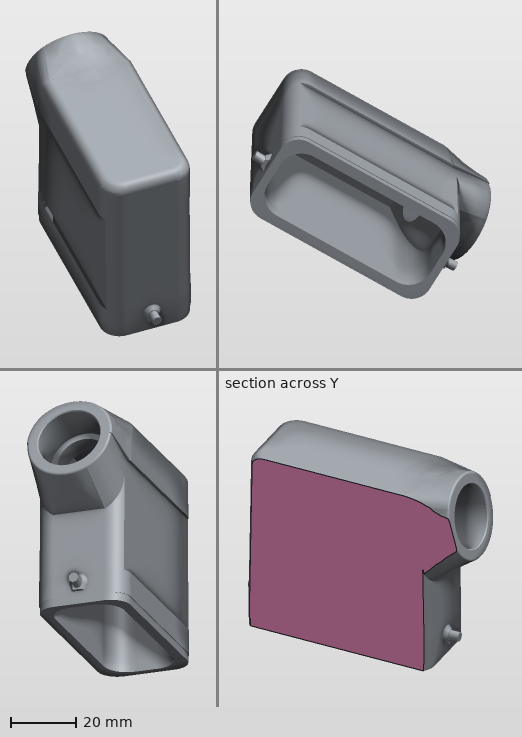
import cadquery as cq
import math

body_length = 62.6
body_width = 29.5
body_height = 61.2
corner_radius = 6.3
top_fillet = 3.1
end_draft = 1.0

lip_height = 2.5
lip_inset = 0.2
band_top = 10.35

panel_depth = 1.0
panel_top = 47.1
ledge_slope = 0.4

neck_tilt = math.radians(15)
neck_length = 14.0
neck_root_x = -26.45
neck_rise = 0.6
upper_mouth_radius = 13.8
lower_mouth_radius = 13.6
mouth_round = 0.7
upper_split_angles = (37.0, 52.0)
lower_split_angles = (19.0, 60.0)
valley_radius = 47.4
valley_strip_length = 9.5
valley_end_gap = 0.6

bore_diameter = 20.0
bore_depth = 12.25
bore_chamfer = 0.3
seat_diameter = 16.0
seat_length = 5.9

wall = 2.5
cavity_corner_radius = 7.5

pin_diameter = 3.0
pin_z = 7.0
pin_tip_x = 35.8
pin_root_drop = 0.9
collar_length = 1.35
collar_radius = 2.9
collar_tip_radius = 1.7
collar_bottom_z = 4.2
collar_bottom_half_width = 2.2

half_length = body_length / 2
half_width = body_width / 2
panel_half_width = half_width - panel_depth
draft_slope = math.tan(math.radians(end_draft))

cos_tilt = math.cos(neck_tilt)
sin_tilt = math.sin(neck_tilt)
outward = (-cos_tilt, 0, sin_tilt)


def neck_plane(distance, rise=0.0):
    """Plane square to the neck axis; its local y runs up the slope, its normal points out of the mouth."""
    x = neck_root_x - distance * cos_tilt + rise * sin_tilt
    z = panel_top + distance * sin_tilt + rise * cos_tilt
    return cq.Plane(origin=(x, 0, z), xDir=(0, -1, 0), normal=outward)


def rounded_block(length, width, bottom, top, radius):
    block = cq.Workplane("XY", origin=(0, 0, bottom)).rect(length, width).extrude(top - bottom)
    return block.edges("|Z").fillet(radius)


def inward_side(distance):
    """Half space, as a large block, on the body's side of a plane square to the neck axis."""
    reach = 3 * body_height
    return cq.Workplane(neck_plane(distance)).rect(reach, reach).extrude(-reach)


def drafted_body():
    top_half_length = half_length - draft_slope * (body_height - band_top)
    outline = [
        (-half_length, band_top),
        (half_length, band_top),
        (top_half_length, body_height),
        (-top_half_length, body_height),
    ]
    body = cq.Workplane("XZ").polyline(outline).close().extrude(half_width, both=True)
    body = body.edges("not (#Z or |Y)").fillet(corner_radius)
    return body.faces(">Z").edges().fillet(top_fillet)


def side_panel_cut(side):
    outside = half_width + 0.8
    ledge_run = outside - panel_half_width
    profile = [
        (side * panel_half_width, panel_top),
        (side * outside, panel_top),
        (side * outside, band_top - ledge_slope * ledge_run / panel_depth),
        (side * panel_half_width, band_top),
    ]
    return cq.Workplane("YZ").polyline(profile).close().extrude(half_length + 0.8, both=True)


def mouth_point(radius, degrees):
    angle = math.radians(degrees)
    return (radius * math.cos(angle), neck_rise + radius * math.sin(angle))


def mirrored(point):
    return (-point[0], point[1])


def half_profile(plane, start, mid_a, a, mid_b, b, mid_c):
    """Closed profile, symmetric about local x = 0: a base line and three stretches on each side.

    A stretch whose middle point is None is straight.
    """
    steps = [(mid_a, a), (mid_b, b), (mid_c, mirrored(b))]
    steps += [(mid_b and mirrored(mid_b), mirrored(a)), (mid_a and mirrored(mid_a), mirrored(start))]
    profile = cq.Workplane(plane).moveTo(*start)
    for middle, end in steps:
        profile = profile.threePointArc(middle, end) if middle else profile.lineTo(*end)
    return profile.close().wire().val()


def mouth_profile(radius, split_angles, sign):
    first, second = split_angles
    angles = (0, first / 2, first, (first + second) / 2, second, 90)
    points = [mouth_point(radius, sign * angle) for angle in angles]
    return half_profile(neck_plane(neck_length), *points)


def up_slope(z):
    """Local y, on a plane of the neck, of the height z."""
    return (z - panel_top) / cos_tilt


def upper_root_profile():
    def round_point(degrees):
        angle = math.radians(degrees)
        y = half_width - top_fillet * (1 - math.cos(angle))
        return (y, up_slope(body_height - top_fillet * (1 - math.sin(angle))))

    start = (half_width, 0)
    return half_profile(
        neck_plane(0), start, None, round_point(0), round_point(45), round_point(90), None
    )


def lower_root_profile():
    run = neck_root_x + half_length - draft_slope * (panel_top - band_top)
    wall_z = panel_top - run / (math.tan(neck_tilt) - draft_slope)
    wall_y = up_slope(wall_z)

    def corner_point(degrees):
        angle = math.radians(degrees)
        y = half_width - corner_radius * (1 - math.cos(angle))
        return (y, wall_y + corner_radius * (1 - math.sin(angle)) / sin_tilt)

    panel_edge = math.degrees(math.acos(1 - panel_depth / corner_radius))
    middle = (panel_edge + 90) / 2
    start = (panel_half_width, 0)
    return half_profile(
        neck_plane(0), start, None, corner_point(panel_edge), corner_point(middle), corner_point(90), None
    )


def neck_half(root, mouth):
    half = cq.Workplane(cq.Solid.makeLoft([root, mouth], True))
    mouth_face = cq.selectors.DirectionMinMaxSelector(cq.Vector(outward))
    return half.faces(mouth_face).edges("not |Y").fillet(mouth_round)


def valley_blend(neck):
    """The neck's middle with a strip of the body's flat top, and the valley between them rounded."""
    flat_width = body_width - 2 * top_fillet
    valley_x = neck_root_x + (body_height - panel_top) * math.tan(neck_tilt)
    strip = (
        cq.Workplane("XY", origin=(valley_x, 0, body_height - wall))
        .rect(2 * valley_strip_length, flat_width)
        .extrude(wall)
        .intersect(inward_side(0))
    )
    middle = cq.Workplane("XY").box(2 * body_length, flat_width - 2 * valley_end_gap, 3 * body_height)
    valley = cq.selectors.NearestToPointSelector((valley_x, 0, body_height))
    return neck.union(strip).intersect(middle).edges(valley).fillet(valley_radius)


def cable_bore():
    mouth = neck_plane(neck_length, neck_rise)
    lead_in = (
        cq.Workplane(mouth)
        .circle(bore_diameter / 2 + bore_chamfer)
        .workplane(offset=-bore_chamfer)
        .circle(bore_diameter / 2)
        .loft()
    )
    bore = cq.Workplane(mouth).circle(bore_diameter / 2).extrude(-bore_depth)
    through = cq.Workplane(mouth).circle(seat_diameter / 2).extrude(-bore_depth - seat_length - wall)
    return lead_in.union(bore).union(through)


def cavity():
    block = rounded_block(
        body_length - 2 * wall, body_width - 2 * (panel_depth + wall), 0, body_height - wall, cavity_corner_radius
    )
    return block.intersect(inward_side(neck_length - bore_depth - seat_length))


def locking_pin():
    """Pin on the +X end wall."""
    r = pin_diameter / 2
    collar_end = half_length + collar_length
    drop = pin_root_drop / 2
    pin = (
        cq.Workplane("YZ", origin=(collar_end, 0, pin_z))
        .center(0, -drop)
        .ellipse(r, r + drop)
        .workplane(offset=pin_tip_x - collar_end)
        .center(0, drop)
        .ellipse(r, r)
        .loft()
    )
    cone = cq.Workplane(
        cq.Solid.makeCone(
            collar_radius, collar_tip_radius, collar_length, cq.Vector(half_length, 0, pin_z), cq.Vector(1, 0, 0)
        )
    )

    def foot(workplane, radius):
        narrow = collar_bottom_half_width * radius / collar_radius
        depth = collar_bottom_z - pin_z
        return workplane.polyline([(-radius, 0), (radius, 0), (narrow, depth), (-narrow, depth)]).close()

    start = cq.Workplane("YZ", origin=(half_length, 0, pin_z))
    lug = foot(foot(start, collar_radius).workplane(offset=collar_length), collar_tip_radius).loft()
    root = cq.Workplane("YZ", origin=(half_length - 0.8, 0, pin_z)).circle(r).extrude(collar_length + 0.8)
    below = cq.Workplane("XY").box(157.95, 157.95, collar_bottom_z, centered=(True, True, False))
    return cone.union(lug).cut(below).union(root).union(pin)


shell = drafted_body()
for side in (1, -1):
    shell = shell.cut(side_panel_cut(side))
shell = shell.intersect(inward_side(0))
shell = shell.union(rounded_block(body_length, body_width, lip_height, band_top, corner_radius))
shell = shell.union(
    rounded_block(body_length, body_width - 2 * lip_inset, 0, lip_height, corner_radius)
)

upper = neck_half(upper_root_profile(), mouth_profile(upper_mouth_radius, upper_split_angles, 1))
lower = neck_half(lower_root_profile(), mouth_profile(lower_mouth_radius, lower_split_angles, -1))
shell = shell.union(upper).union(lower).union(valley_blend(upper))

shell = shell.cut(cavity()).cut(cable_bore())
pin = locking_pin()
result = shell.union(pin).union(pin.mirror("YZ"))